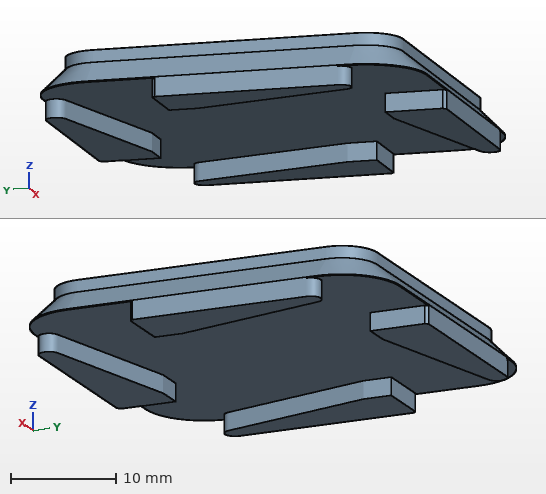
import cadquery as cq
import math

side = 38.0
total_height = 5.5
corner_radius = 6.0
bevel = 2.35
top_band = 1.2
rim = 0.1

foot_count = 4
foot_height = total_height - top_band - bevel - rim
heel_offset = 6.5
heel_width = 5.95
heel_chamfer = 0.3
tip_radius = 1.03
taper_angle = 14.0

half_side = side / 2
straight_half = half_side - corner_radius


def rounded_square(size, radius, height, base_z):
    """Square block with rounded upright corners, standing on base_z."""
    block = cq.Workplane("XY").workplane(offset=base_z).rect(size, size).extrude(height)
    return block.edges("|Z").fillet(radius)


def make_plate():
    shoulder_height = rim + bevel
    shoulder = rounded_square(side, corner_radius, shoulder_height, foot_height)
    shoulder = shoulder.faces(">Z").chamfer(bevel)

    top_base = foot_height + shoulder_height
    top = rounded_square(side - 2 * bevel, corner_radius - bevel, top_band, top_base)
    return shoulder.union(top)


def make_foot():
    """Foot along the -Y side: wide heel towards -X, round tip towards +X."""
    outer_y = -half_side
    heel_x = -heel_offset
    heel_inner_y = outer_y + heel_width

    tip_x = straight_half - tip_radius
    tip_y = outer_y + tip_radius

    taper = math.radians(taper_angle)
    taper_start_x = tip_x + tip_radius * math.sin(taper)
    taper_start_y = tip_y + tip_radius * math.cos(taper)
    taper_end_x = taper_start_x - (heel_inner_y - taper_start_y) / math.tan(taper)

    return (
        cq.Workplane("XY")
        .moveTo(heel_x + heel_chamfer, outer_y)
        .lineTo(tip_x, outer_y)
        .threePointArc((tip_x + tip_radius, tip_y), (taper_start_x, taper_start_y))
        .lineTo(taper_end_x, heel_inner_y)
        .lineTo(heel_x, heel_inner_y)
        .lineTo(heel_x, outer_y + heel_chamfer)
        .close()
        .extrude(foot_height)
    )


result = make_plate()
foot = make_foot()
for index in range(foot_count):
    turn = index * 360 / foot_count
    result = result.union(foot.rotate((0, 0, 0), (0, 0, 1), turn))